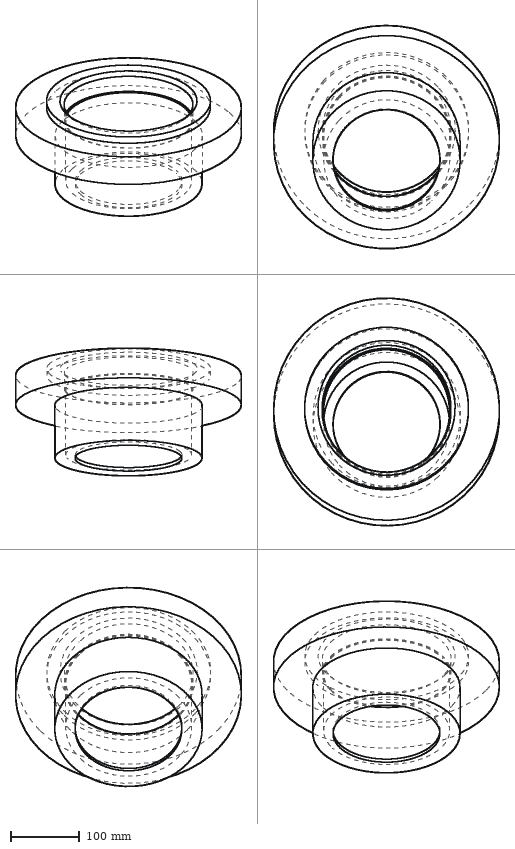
import cadquery as cq

total_height = 135.0
hub_height = 80.0
raised_face_height = 10.2
flange_thickness = total_height - hub_height - raised_face_height

flange_diameter = 330.0
hub_diameter = 215.0
raised_face_diameter = 239.5

through_hole_diameter = 156.0
bore_diameter = 184.0
mouth_bore_diameter = 188.5
floor_thickness = 5.3
mouth_bore_depth = 30.5
mouth_chamfer = 6.0
ledge_chamfer = 1.0


def disc(diameter, height, base_height):
    """Vertical cylinder standing on the given height."""
    return cq.Workplane("XY").workplane(offset=base_height).circle(diameter / 2).extrude(height)


def countersink(small_diameter, depth, rim_height):
    """45 degree cone that opens a bore upward to its rim at the given height."""
    return (
        cq.Workplane("XY")
        .workplane(offset=rim_height - depth)
        .circle(small_diameter / 2)
        .workplane(offset=depth)
        .circle(small_diameter / 2 + depth)
        .loft()
    )


hub = disc(hub_diameter, hub_height, 0)
flange = disc(flange_diameter, flange_thickness, hub_height)
raised_face = disc(raised_face_diameter, raised_face_height, hub_height + flange_thickness)
body = hub.union(flange).union(raised_face)

through_hole = disc(through_hole_diameter, total_height, 0)
bore = disc(bore_diameter, total_height - floor_thickness, floor_thickness)
ledge_height = total_height - mouth_bore_depth
mouth_bore = disc(mouth_bore_diameter, mouth_bore_depth, ledge_height)

mouth_cone = countersink(mouth_bore_diameter, mouth_chamfer, total_height)
ledge_cone = countersink(bore_diameter, ledge_chamfer, ledge_height)

result = body.cut(through_hole).cut(bore).cut(mouth_bore).cut(mouth_cone).cut(ledge_cone)